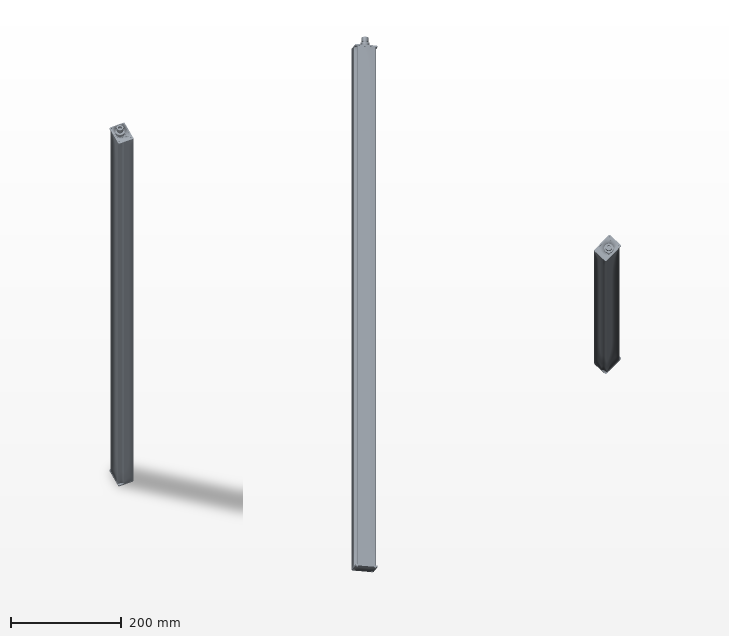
import cadquery as cq

WIDTH = 41.0
DEPTH = 30.0
LENGTH = 1016.27

BOTTOM_SCREW_HEIGHT = 1.5
CAP_THICKNESS = 3.0
CONNECTOR_HEIGHT = 17.5
CAP_TOP = LENGTH - CONNECTOR_HEIGHT
PROFILE_BOTTOM = BOTTOM_SCREW_HEIGHT + CAP_THICKNESS
PROFILE_TOP = CAP_TOP - CAP_THICKNESS

SIDE_INSET = 0.1
FRONT_INSET = 0.7
PROFILE_WIDTH = WIDTH - 2 * SIDE_INSET
PROFILE_DEPTH = DEPTH - 2 * FRONT_INSET
FRONT_WIDTH = 34.0
SHOULDER = (PROFILE_WIDTH - FRONT_WIDTH) / 2
SHOULDER_START_Y = -4.0
WINDOW_WIDTH = 33.0
WINDOW_START_Y = -8.8

CAP_CORNER_RADIUS = 2.0
SCREW_X = 16.8
REAR_SCREW_Y = 10.7
FRONT_SCREW_Y = -12.2
SCREW_POINTS = [(x, y) for x in (-SCREW_X, SCREW_X) for y in (REAR_SCREW_Y, FRONT_SCREW_Y)]
SCREW_DIAMETER = 2.4
SCREW_HOLE_DEPTH = 1.5

INDICATOR_X = 12.4
INDICATOR_Y = 4.2
INDICATOR_DIAMETER = 7.0
INDICATOR_DEPTH = 0.5
LENS_DIAMETER = 3.5
LENS_DEPTH = 1.0

SLOT_LENGTH = 18.0
SLOT_WIDTH = 2.5
SLOT_Y = 11.2
SLOT_DEPTH = 0.5

CONNECTOR_Y = -3.0
FLANGE_DIAMETER = 19.4
FLANGE_HEIGHT = 1.0
COLLAR_DIAMETER = 17.0
COLLAR_HEIGHT = 7.0
NECK_DIAMETER = 10.0
THREAD_DIAMETER = 12.0
THREAD_LENGTH = 8.0
SOCKET_DIAMETER = 7.0
SOCKET_DEPTH = 6.0


def cylinder(diameter, bottom, height, x=0.0, y=0.0):
    """Upright cylinder standing on the level `bottom`."""
    return cq.Workplane("XY", origin=(x, y, bottom)).circle(diameter / 2).extrude(height)


def profile():
    """Long extruded housing."""
    shoulder_end_y = SHOULDER_START_Y - SHOULDER
    right_half = [
        (PROFILE_WIDTH / 2, PROFILE_DEPTH / 2),
        (PROFILE_WIDTH / 2, SHOULDER_START_Y),
        (FRONT_WIDTH / 2, shoulder_end_y),
        (FRONT_WIDTH / 2, WINDOW_START_Y),
        (WINDOW_WIDTH / 2, WINDOW_START_Y),
        (WINDOW_WIDTH / 2, -PROFILE_DEPTH / 2),
    ]
    left_half = [(-x, y) for x, y in reversed(right_half)]
    housing = cq.Workplane("XY", origin=(0, 0, PROFILE_BOTTOM)).polyline(right_half + left_half).close()
    return housing.extrude(PROFILE_TOP - PROFILE_BOTTOM)


def end_cap(bottom):
    """Flat cap with rounded corners, resting on the level `bottom`."""
    cap = cq.Workplane("XY", origin=(0, 0, bottom)).rect(WIDTH, DEPTH).extrude(CAP_THICKNESS)
    return cap.edges("|Z").fillet(CAP_CORNER_RADIUS)


def connector():
    """Round cable connector with a flange, a collar, a neck and a hollow threaded end."""
    collar_top = CAP_TOP + COLLAR_HEIGHT
    thread_bottom = LENGTH - THREAD_LENGTH
    body = cylinder(FLANGE_DIAMETER, CAP_TOP, FLANGE_HEIGHT, y=CONNECTOR_Y)
    body = body.union(cylinder(COLLAR_DIAMETER, CAP_TOP, COLLAR_HEIGHT, y=CONNECTOR_Y))
    body = body.union(cylinder(NECK_DIAMETER, collar_top, thread_bottom - collar_top, y=CONNECTOR_Y))
    body = body.union(cylinder(THREAD_DIAMETER, thread_bottom, THREAD_LENGTH, y=CONNECTOR_Y))
    return body.cut(cylinder(SOCKET_DIAMETER, LENGTH - SOCKET_DEPTH, SOCKET_DEPTH, y=CONNECTOR_Y))


def top_cap():
    """Upper cap with recessed screws, an indicator and a rear slot."""
    cap = end_cap(PROFILE_TOP)
    for x, y in SCREW_POINTS:
        cap = cap.cut(cylinder(SCREW_DIAMETER, CAP_TOP - SCREW_HOLE_DEPTH, SCREW_HOLE_DEPTH, x, y))
    for diameter, depth in ((INDICATOR_DIAMETER, INDICATOR_DEPTH), (LENS_DIAMETER, LENS_DEPTH)):
        cap = cap.cut(cylinder(diameter, CAP_TOP - depth, depth, INDICATOR_X, INDICATOR_Y))
    slot = cq.Workplane("XY", origin=(0, SLOT_Y, CAP_TOP - SLOT_DEPTH)).rect(SLOT_LENGTH, SLOT_WIDTH)
    return cap.cut(slot.extrude(SLOT_DEPTH))


def bottom_cap():
    """Lower cap with screw heads standing proud of it."""
    cap = end_cap(BOTTOM_SCREW_HEIGHT)
    for x, y in SCREW_POINTS:
        cap = cap.union(cylinder(SCREW_DIAMETER, 0, BOTTOM_SCREW_HEIGHT, x, y))
    return cap


result = profile().union(bottom_cap()).union(top_cap()).union(connector())